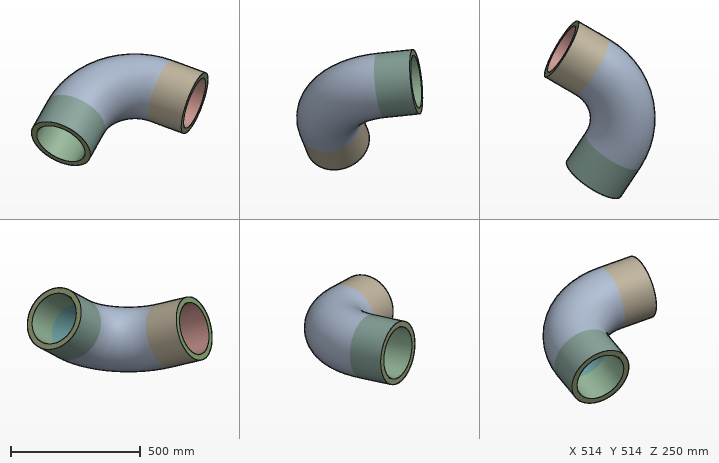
import cadquery as cq

overall_length = 514.0
outer_diameter = 250.0
wall = 22.5
bend_radius = outer_diameter

outer_radius = outer_diameter / 2
inner_radius = outer_radius - wall
leg_length = overall_length - outer_radius - bend_radius
bend_angle = 90


def elbow(radius):
    """Solid rod: a leg along +Y, a bend towards +X and a leg along +X."""
    inlet_leg = cq.Workplane("XZ").circle(radius).extrude(-leg_length)
    bend = (
        cq.Workplane("XZ", origin=(0, leg_length, 0))
        .circle(radius)
        .revolve(bend_angle, (bend_radius, 0), (bend_radius, -1))
    )
    outlet_leg = (
        cq.Workplane("YZ", origin=(bend_radius, leg_length + bend_radius, 0))
        .circle(radius)
        .extrude(leg_length)
    )
    return inlet_leg.union(bend).union(outlet_leg)


result = elbow(outer_radius).cut(elbow(inner_radius))